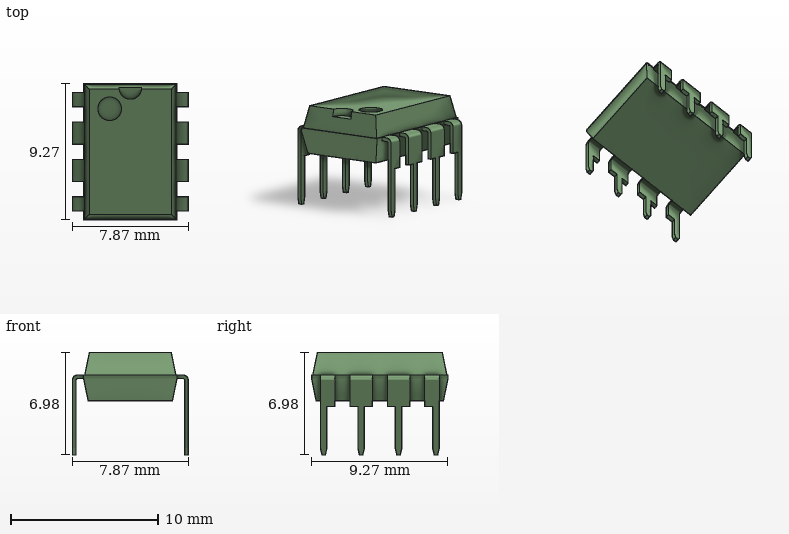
import cadquery as cq
import math

BODY_WIDTH = 6.35
BODY_LENGTH = 9.27
SHELL_HEIGHT = 1.52
STANDOFF = 0.38
DRAFT_INSET = 0.31
UPPER_STEP = 0.08

LEAD_THICKNESS = 0.254
LEAD_PITCH = 2.54
LEADS_PER_SIDE = 4
ROW_SPACING = 7.62
LEAD_SPAN = ROW_SPACING + LEAD_THICKNESS
BEND_INNER_RADIUS = 0.127
SHOULDER_WIDTH = 1.524
PIN_WIDTH = 0.45
PIN_LENGTH = 3.306
TIP_WIDTH = 0.23
TIP_LENGTH = 0.46

DIMPLE_DIAMETER = 1.6
DIMPLE_DEPTH = 0.3
DIMPLE_X = -1.4
DIMPLE_Y = 2.92
NOTCH_RADIUS = 0.762
NOTCH_DEPTH = 0.5
NOTCH_Y = 4.33

BAND_BOTTOM = STANDOFF + SHELL_HEIGHT
BAND_TOP = BAND_BOTTOM + LEAD_THICKNESS
BODY_TOP = BAND_TOP + SHELL_HEIGHT
BEND_OUTER_RADIUS = BEND_INNER_RADIUS + LEAD_THICKNESS


def tapered_half(base_z, inset, height):
    """Half of the package, narrowing away from the band (a negative height goes down)."""
    width = BODY_WIDTH - 2 * inset
    length = BODY_LENGTH - 2 * inset
    return (
        cq.Workplane("XY", origin=(0, 0, base_z))
        .rect(width, length)
        .workplane(offset=height)
        .rect(width - 2 * DRAFT_INSET, length - 2 * DRAFT_INSET)
        .loft(ruled=True)
    )


def make_body():
    band = (
        cq.Workplane("XY", origin=(0, 0, BAND_BOTTOM))
        .rect(BODY_WIDTH, BODY_LENGTH)
        .extrude(LEAD_THICKNESS)
    )
    lower = tapered_half(BAND_BOTTOM, 0, -SHELL_HEIGHT)
    upper = tapered_half(BAND_TOP, UPPER_STEP, SHELL_HEIGHT)
    return band.union(lower).union(upper)


def top_pocket(x, y, radius, depth):
    """Round cutter reaching down from the top face."""
    return cq.Workplane("XY", origin=(x, y, BODY_TOP)).circle(radius).extrude(-depth)


def make_lead_row():
    """Bent strip along the -X side, as long as the package."""
    outer_x = -LEAD_SPAN / 2
    inner_x = outer_x + LEAD_THICKNESS
    bend_x = outer_x + BEND_OUTER_RADIUS
    bend_z = BAND_TOP - BEND_OUTER_RADIUS
    root_x = -BODY_WIDTH / 2 + DRAFT_INSET
    diagonal = math.sqrt(0.5)
    outer_mid = (bend_x - BEND_OUTER_RADIUS * diagonal, bend_z + BEND_OUTER_RADIUS * diagonal)
    inner_mid = (bend_x - BEND_INNER_RADIUS * diagonal, bend_z + BEND_INNER_RADIUS * diagonal)
    return (
        cq.Workplane("XZ")
        .moveTo(root_x, BAND_TOP)
        .lineTo(bend_x, BAND_TOP)
        .threePointArc(outer_mid, (outer_x, bend_z))
        .lineTo(outer_x, -PIN_LENGTH)
        .lineTo(inner_x, -PIN_LENGTH)
        .lineTo(inner_x, bend_z)
        .threePointArc(inner_mid, (bend_x, BAND_BOTTOM))
        .lineTo(root_x, BAND_BOTTOM)
        .close()
        .extrude(BODY_LENGTH / 2, both=True)
    )


def lead_blank(y, low_side, high_side):
    """Solid with the lead's outline in YZ, reaching from the mid plane to the -X side.

    low_side and high_side are the shoulder reaches from the pin centre.
    """
    half_pin = PIN_WIDTH / 2
    half_tip = TIP_WIDTH / 2
    taper_z = TIP_LENGTH - PIN_LENGTH
    shoulder = (
        cq.Workplane("YZ")
        .moveTo(y - low_side, 0)
        .lineTo(y + high_side, 0)
        .lineTo(y + high_side, BAND_TOP)
        .lineTo(y - low_side, BAND_TOP)
        .close()
        .extrude(-LEAD_SPAN)
    )
    pin = (
        cq.Workplane("YZ")
        .moveTo(y - half_pin, BAND_BOTTOM)
        .lineTo(y - half_pin, taper_z)
        .lineTo(y - half_tip, -PIN_LENGTH)
        .lineTo(y + half_tip, -PIN_LENGTH)
        .lineTo(y + half_pin, taper_z)
        .lineTo(y + half_pin, BAND_BOTTOM)
        .close()
        .extrude(-LEAD_SPAN)
    )
    return shoulder.union(pin)


def add_leads(part):
    """Leads on both sides; the end leads have a shoulder only toward the middle."""
    strip = make_lead_row()
    for index in range(LEADS_PER_SIDE):
        y = (index - (LEADS_PER_SIDE - 1) / 2) * LEAD_PITCH
        is_first = index == 0
        is_last = index == LEADS_PER_SIDE - 1
        low_side = (PIN_WIDTH if is_first else SHOULDER_WIDTH) / 2
        high_side = (PIN_WIDTH if is_last else SHOULDER_WIDTH) / 2
        lead = strip.intersect(lead_blank(y, low_side, high_side))
        part = part.union(lead).union(lead.mirror("YZ"))
    return part


body = make_body()
body = body.cut(top_pocket(DIMPLE_X, DIMPLE_Y, DIMPLE_DIAMETER / 2, DIMPLE_DEPTH))
body = body.cut(top_pocket(0, NOTCH_Y, NOTCH_RADIUS, NOTCH_DEPTH))
result = add_leads(body)